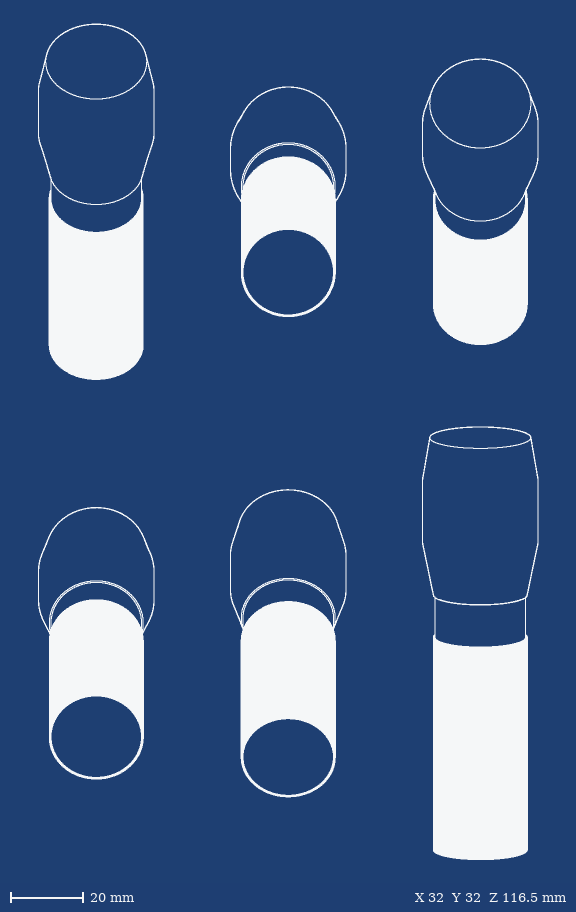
import cadquery as cq
import math

TOTAL_LENGTH = 116.5
GRIP_LENGTH = 60.0
NECK_LENGTH = 12.0
LOWER_TAPER_LENGTH = 14.9
UPPER_TAPER_LENGTH = 12.0

ROD_DIAMETER = 25.0
GRIP_DIAMETER = 26.0
HEAD_DIAMETER = 32.0
HEAD_TOP_DIAMETER = 28.0
HEAD_BOTTOM_DIAMETER = GRIP_DIAMETER

GROOVE_COUNT = 240
GROOVE_SIZE = 0.2

rod_length = GRIP_LENGTH + NECK_LENGTH


def make_rod():
    """Round rod that runs through the grip and carries the head on its top end."""
    return cq.Workplane("XY").circle(ROD_DIAMETER / 2).extrude(rod_length)


def make_head():
    """Solid head: a cylinder that tapers towards both of its ends."""
    profile = [
        (0, rod_length),
        (HEAD_BOTTOM_DIAMETER / 2, rod_length),
        (HEAD_DIAMETER / 2, rod_length + LOWER_TAPER_LENGTH),
        (HEAD_DIAMETER / 2, TOTAL_LENGTH - UPPER_TAPER_LENGTH),
        (HEAD_TOP_DIAMETER / 2, TOTAL_LENGTH),
        (0, TOTAL_LENGTH),
    ]
    return cq.Workplane("XZ").polyline(profile).close().revolve(360, (0, 0), (0, 1))


def turned(point, angle):
    """The point (radial, sideways) turned about the axis by an angle in radians."""
    radial, sideways = point
    return (
        radial * math.cos(angle) - sideways * math.sin(angle),
        radial * math.sin(angle) + sideways * math.cos(angle),
    )


def make_grip():
    """Sleeve around the lower rod, with a finely grooved outside."""
    radius = GRIP_DIAMETER / 2
    floor_radius = radius - GROOVE_SIZE
    pitch = 2 * math.pi / GROOVE_COUNT
    near_lip = (radius, 0)
    near_corner = (floor_radius, 0)
    far_corner = (floor_radius, -GROOVE_SIZE)
    far_lip = (math.sqrt(radius**2 - GROOVE_SIZE**2), -GROOVE_SIZE)
    far_lip_angle = -math.asin(GROOVE_SIZE / radius)
    land_middle_angle = (far_lip_angle - pitch) / 2

    outline = cq.Workplane("XY").moveTo(*near_lip)
    for i in range(GROOVE_COUNT):
        angle = -i * pitch
        outline = outline.lineTo(*turned(near_corner, angle))
        outline = outline.lineTo(*turned(far_corner, angle))
        outline = outline.lineTo(*turned(far_lip, angle))
        outline = outline.threePointArc(
            turned(near_lip, angle + land_middle_angle), turned(near_lip, angle - pitch)
        )
    sleeve = outline.close().extrude(GRIP_LENGTH)
    return sleeve.cut(make_rod())


rod = make_rod()
head = make_head()
grip = make_grip()

result = cq.Compound.makeCompound([rod.val(), head.val(), grip.val()])